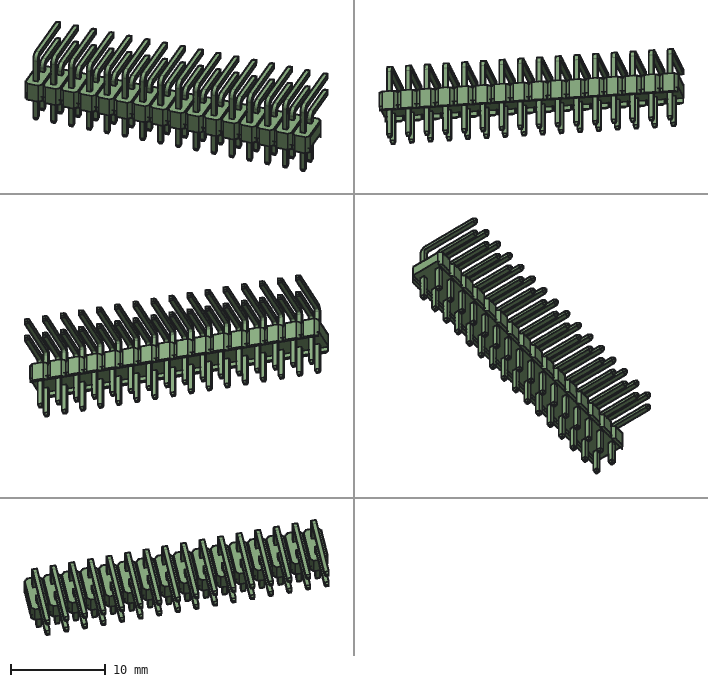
import cadquery as cq


pitch = 2.0
columns = 16
row_spacing = 2.0

cell_depth = 2 * row_spacing
housing_height = 2.0
corner_chamfer = 0.4
side_face_depth = cell_depth - 2 * corner_chamfer
top_bevel = 0.1
channel_height = 0.5
channel_overcut = 0.05
channel_width = side_face_depth + 2 * channel_overcut

pin_width = 0.5
tip_width = 0.3
tip_length = 0.28
tail_length = 2.8
pin_tip_y = 6.0
arm_clearance = 1.0
lower_arm_height = housing_height + arm_clearance
upper_arm_height = lower_arm_height + row_spacing
bend_radius = 0.5


def make_edge_bevel(side):
    """Wedge cutter for one long top edge of a cell; side is +1 or -1 along X."""
    edge_x = side * pitch / 2
    return (
        cq.Workplane("XZ")
        .moveTo(edge_x, housing_height)
        .lineTo(edge_x - side * top_bevel, housing_height)
        .lineTo(edge_x, housing_height - top_bevel)
        .close()
        .extrude(side_face_depth / 2, both=True)
    )


def make_cell():
    """One octagonal housing cell centred on X = 0, with its long top edges bevelled."""
    return (
        cq.Workplane("XY")
        .rect(pitch, cell_depth)
        .extrude(housing_height)
        .edges("|Z")
        .chamfer(corner_chamfer)
        .cut(make_edge_bevel(1))
        .cut(make_edge_bevel(-1))
    )


def make_channel():
    """Cutter for the channel along the underside, which leaves legs at both sides."""
    return (
        cq.Workplane("XY")
        .box(columns * pitch, channel_width, channel_height, centered=(True, True, False))
    )


def make_tip(plane):
    """Tapered pin end, growing along the plane normal from the full pin section."""
    return (
        cq.Workplane(plane)
        .rect(pin_width, pin_width)
        .workplane(offset=tip_length)
        .rect(tip_width, tip_width)
        .loft(ruled=True)
    )


def make_pin(row_y, arm_height):
    """Square pin that rises at row_y, bends and ends in an arm pointing to +Y."""
    tail_end = -tail_length + tip_length
    arm_end = pin_tip_y - tip_length
    half_width = pin_width / 2
    outer_y = row_y - half_width
    inner_y = row_y + half_width
    arm_top = arm_height + half_width
    arm_bottom = arm_height - half_width
    outer_radius = bend_radius + half_width
    inner_radius = bend_radius - half_width

    shank = (
        cq.Workplane("YZ")
        .moveTo(outer_y, tail_end)
        .lineTo(outer_y, arm_top - outer_radius)
        .tangentArcPoint((outer_radius, outer_radius))
        .lineTo(arm_end, arm_top)
        .lineTo(arm_end, arm_bottom)
        .lineTo(inner_y + inner_radius, arm_bottom)
        .tangentArcPoint((-inner_radius, -inner_radius))
        .lineTo(inner_y, tail_end)
        .close()
        .extrude(half_width, both=True)
    )
    tail_plane = cq.Plane(origin=(0, row_y, tail_end), xDir=(1, 0, 0), normal=(0, 0, -1))
    arm_plane = cq.Plane(origin=(0, arm_end, arm_height), xDir=(1, 0, 0), normal=(0, 1, 0))
    return shank.union(make_tip(tail_plane)).union(make_tip(arm_plane))


column_positions = [((i - (columns - 1) / 2) * pitch, 0) for i in range(columns)]


def repeat_along_row(shape):
    """One copy of the shape at every column, fused together."""
    return (
        cq.Workplane("XY")
        .pushPoints(column_positions)
        .eachpoint(lambda location: shape.val().moved(location), combine=True)
    )


housing = repeat_along_row(make_cell()).cut(make_channel())
lower_row = repeat_along_row(make_pin(row_spacing / 2, lower_arm_height))
upper_row = repeat_along_row(make_pin(-row_spacing / 2, upper_arm_height))

result = housing.union(lower_row).union(upper_row)